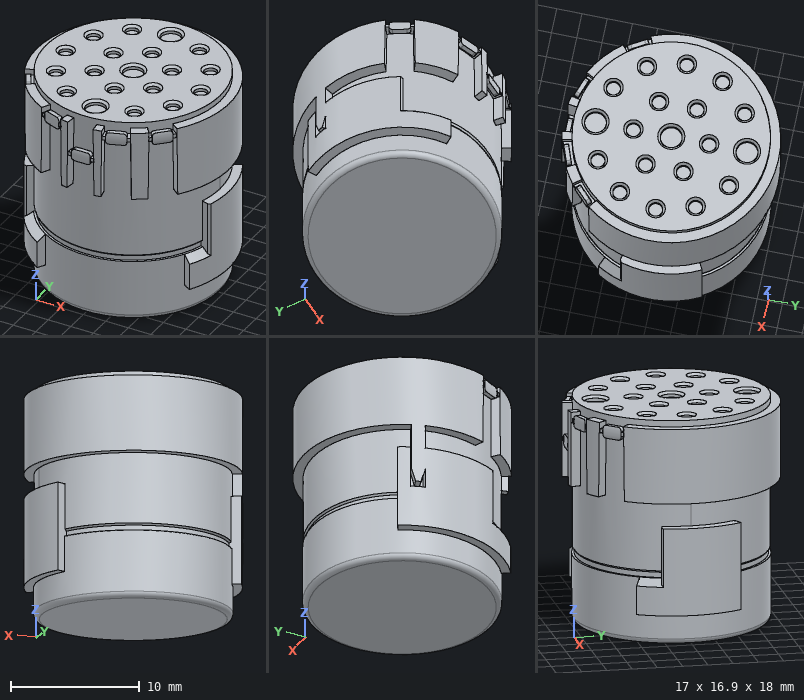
import cadquery as cq
import math

HEIGHT = 18.0
BODY_RADIUS = 7.7
BASE_RADIUS = 7.75
OUTER_RADIUS = 8.5
GROOVE_RADIUS = 7.55
BASE_TOP = 5.33
GROOVE_TOP = 5.9
GROOVE_BEVEL = 0.15
BASE_FILLET = 0.45
CORE_RADIUS = 7.0
CLEARANCE = 2.0

COLLAR_BOTTOM = 11.5
COLLAR_TOP = 17.5
FRONT = -90.0
GAP_OFFSETS = (-60.0, -20.0, 0.0, 20.0, 45.0)
CENTRE_GAP = 0.0
GAP_HALF_TOP = 7.6
GAP_HALF_BOTTOM = 8.1

TILE_WIDTH = 1.68
TILE_HEIGHT = 1.04
TILE_INNER = 7.94
TILE_OUTER = 8.38
TILE_CORNER = 0.28
TILE_CROWN = 0.06
WEB_HEIGHT = 0.34
WEB_OUTER = 8.33
TILE_Z = 16.82
CENTRE_TILE_Z = 14.6

TAB_BOTTOM = 2.5
TAB_LEDGE = 4.8
TAB_TOP = 9.5
LEFT_TAB_REAR = 152.0
LEFT_TAB_WALL = 211.7
LEFT_TAB_FOOT_END = 237.7
RIGHT_TAB_REAR = 28.0
RIGHT_TAB_WALL = -16.8
RIGHT_TAB_FOOT_END = -30.0
TAB_BEVEL_ANGLE = 1.3
TAB_BEVEL_DEPTH = 0.2

KEY_FRONT = 166.7
KEY_REAR = 159.3
KEY_TIP_HALF = 1.5
KEY_TAPER_TOP = 7.6
KEY_BOTTOM = 6.47
NOTCH_REAR = 158.9
NOTCH_BOTTOM = 6.0

OUTER_CIRCLE = 6.0
OUTER_COUNT = 12
INNER_CIRCLE = 3.0
INNER_COUNT = 6
SMALL_HOLE = 1.1
LARGE_HOLE = 1.7
COUNTERSINK_STEP = 0.2
HOLE_DEPTH = 0.45


def polar(radius, angle):
    """Point at a radius and an angle in degrees."""
    return (radius * math.cos(math.radians(angle)), radius * math.sin(math.radians(angle)))


def wedge(start, end, radius=OUTER_RADIUS + CLEARANCE):
    """Corners of a sector from the axis, less than 90 degrees wide."""
    return [(0, 0), polar(radius, start), polar(radius, end)]


def prism(points, bottom, top):
    return cq.Workplane("XY").workplane(offset=bottom).polyline(points).close().extrude(top - bottom)


def loft(bottom_points, top_points, bottom, top):
    """Ruled solid between two outlines at different heights."""
    lower = cq.Workplane("XY").workplane(offset=bottom).polyline(bottom_points).close()
    return lower.workplane(offset=top - bottom).polyline(top_points).close().loft(ruled=True)


def tube(bottom, top):
    ring = cq.Workplane("XY").workplane(offset=bottom).circle(OUTER_RADIUS).circle(CORE_RADIUS)
    return ring.extrude(top - bottom)


def make_body():
    profile = [
        (0, 0),
        (BASE_RADIUS, 0),
        (BASE_RADIUS, BASE_TOP),
        (GROOVE_RADIUS, BASE_TOP),
        (GROOVE_RADIUS, GROOVE_TOP - GROOVE_BEVEL),
        (BODY_RADIUS, GROOVE_TOP),
        (BODY_RADIUS, HEIGHT),
        (0, HEIGHT),
    ]
    body = cq.Workplane("XZ").polyline(profile).close().revolve(360, (0, 0), (0, 1))
    return body.faces("<Z").edges().fillet(BASE_FILLET)


def make_collar():
    collar = tube(COLLAR_BOTTOM, COLLAR_TOP)
    for offset in GAP_OFFSETS:
        centre = FRONT + offset
        lower = wedge(centre - GAP_HALF_BOTTOM, centre + GAP_HALF_BOTTOM)
        upper = wedge(centre - GAP_HALF_TOP, centre + GAP_HALF_TOP)
        collar = collar.cut(loft(lower, upper, COLLAR_BOTTOM, COLLAR_TOP))
    return collar


def make_tile():
    """Crowned tile and its carrying web, centred on height zero and facing -Y."""
    half = TILE_HEIGHT / 2
    edge = TILE_OUTER - TILE_CROWN
    section = cq.Workplane("YZ").moveTo(-TILE_INNER, -half).lineTo(-edge, -half)
    section = section.threePointArc((-TILE_OUTER, 0), (-edge, half)).lineTo(-TILE_INNER, half).close()
    tile = section.extrude(TILE_WIDTH / 2, both=True)
    outline = cq.Workplane("XZ").rect(TILE_WIDTH, TILE_HEIGHT).extrude(OUTER_RADIUS)
    tile = tile.intersect(outline.edges("|Y").fillet(TILE_CORNER))

    reach = WEB_OUTER * math.tan(math.radians(GAP_HALF_BOTTOM))
    web_depth = WEB_OUTER - CORE_RADIUS
    web = cq.Workplane("XY").box(2 * reach, web_depth, WEB_HEIGHT)
    return tile.union(web.translate((0, -CORE_RADIUS - web_depth / 2, 0)))


def add_tiles(part):
    tile = make_tile()
    for offset in GAP_OFFSETS:
        height = CENTRE_TILE_Z if offset == CENTRE_GAP else TILE_Z
        part = part.union(tile.translate((0, 0, height)).rotate((0, 0, 0), (0, 0, 1), offset))
    return part


def make_tab(rear, wall, foot_end):
    """Tall tab ending in a bevelled wall, with a low foot that runs on past it."""
    toward_rear = math.copysign(1, rear - wall)
    far = OUTER_RADIUS + CLEARANCE
    bevelled = [
        (0, 0),
        polar(OUTER_RADIUS - TAB_BEVEL_DEPTH, wall),
        polar(OUTER_RADIUS, wall + toward_rear * TAB_BEVEL_ANGLE),
        polar(far, wall + toward_rear * TAB_BEVEL_ANGLE),
        polar(far, rear),
    ]
    tall = tube(TAB_BOTTOM, TAB_TOP).intersect(prism(bevelled, TAB_BOTTOM, TAB_TOP))

    foot_section = [
        (CORE_RADIUS, TAB_BOTTOM),
        (OUTER_RADIUS, TAB_BOTTOM),
        (OUTER_RADIUS, TAB_LEDGE),
        (BASE_RADIUS, BASE_TOP),
        (CORE_RADIUS, BASE_TOP),
    ]
    foot = cq.Workplane("XZ").polyline(foot_section).close().revolve(360, (0, 0), (0, 1))
    foot = foot.intersect(prism(wedge((rear + wall) / 2, foot_end), TAB_BOTTOM, BASE_TOP))
    return tall.union(foot)


def make_left_tab():
    notch = prism(wedge(NOTCH_REAR, KEY_FRONT), NOTCH_BOTTOM, TAB_TOP)
    return make_tab(LEFT_TAB_REAR, LEFT_TAB_WALL, LEFT_TAB_FOOT_END).cut(notch)


def make_key():
    centre = (KEY_FRONT + KEY_REAR) / 2
    full = wedge(KEY_REAR, KEY_FRONT)
    tip = wedge(centre - KEY_TIP_HALF, centre + KEY_TIP_HALF)
    blade = prism(full, KEY_TAPER_TOP, COLLAR_BOTTOM)
    blade = blade.union(loft(tip, full, KEY_BOTTOM, KEY_TAPER_TOP))
    return blade.intersect(tube(KEY_BOTTOM, COLLAR_BOTTOM))


def cut_hole(part, position, diameter):
    top = cq.Workplane("XY").workplane(offset=HEIGHT).center(*position)
    bore = top.circle(diameter / 2).extrude(-HOLE_DEPTH)
    sink = top.circle(diameter / 2 + COUNTERSINK_STEP).workplane(offset=-COUNTERSINK_STEP)
    sink = sink.circle(diameter / 2).loft()
    return part.cut(bore).cut(sink)


def cut_holes(part):
    part = cut_hole(part, (0, 0), LARGE_HOLE)
    for index in range(OUTER_COUNT):
        on_y_axis = index % (OUTER_COUNT // 2) == 0
        diameter = LARGE_HOLE if on_y_axis else SMALL_HOLE
        part = cut_hole(part, polar(OUTER_CIRCLE, FRONT + index * 360 / OUTER_COUNT), diameter)
    for index in range(INNER_COUNT):
        part = cut_hole(part, polar(INNER_CIRCLE, FRONT + index * 360 / INNER_COUNT), SMALL_HOLE)
    return part


part = make_body()
part = part.union(make_collar())
part = add_tiles(part)
part = part.union(make_left_tab())
part = part.union(make_tab(RIGHT_TAB_REAR, RIGHT_TAB_WALL, RIGHT_TAB_FOOT_END))
part = part.union(make_key())
result = cut_holes(part)